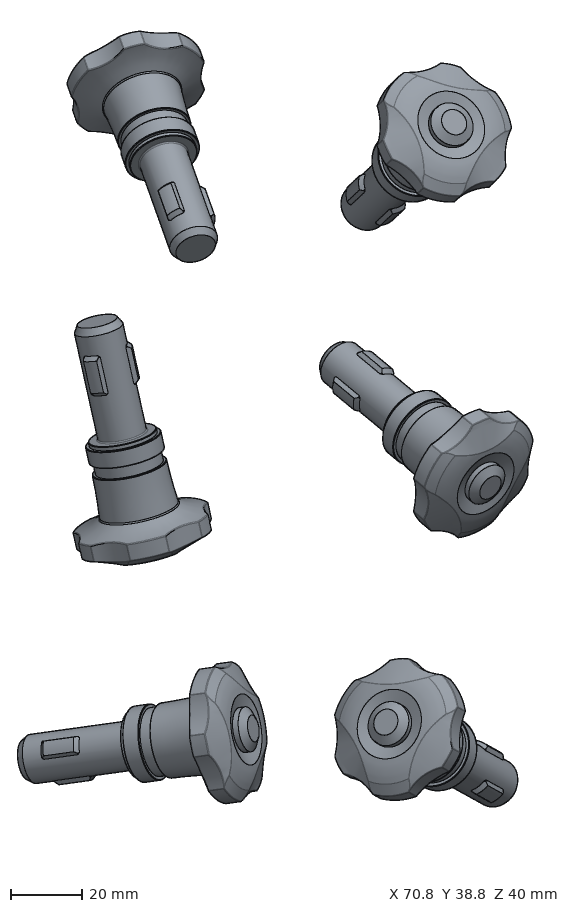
import cadquery as cq
import math

shank_length = 34.0
button_face_x = -36.8
button_bevel_x = button_face_x + 1.65
knob_face_x = button_face_x + 2.2
crown_end_x = button_face_x + 3.9
rim_front_x = button_face_x + 5.8
rim_back_x = button_face_x + 10.8
blend_start_x = button_face_x + 14.05
neck_start_x = button_face_x + 14.5
neck_end_x = button_face_x + 27.2
collar_start_x = button_face_x + 30.6
collar_end_x = button_face_x + 35.6

button_face_radius = 3.8
button_radius = 6.4
dish_radius = 10.1
dish_depth = 1.2
crown_radius = 17.0
rim_radius = 20.0
blend_radius = 11.6
neck_start_radius = 11.35
neck_end_radius = 10.7
groove_radius = 9.8
collar_radius = 10.85
shank_radius = 7.0
crown_bulge = 0.33
back_hollow = 0.45
neck_hollow = 0.15
edge_chamfer = 0.2
root_fillet = 0.35
tip_chamfer_length = 2.15
tip_chamfer_angle = 30.0

lobe_count = 3
lobe_spacing = 360.0 / lobe_count
small_lobe_angle = 94.0
large_lobe_angle = small_lobe_angle + lobe_spacing / 2
scallop_offset_angle = 33.75
scallop_half_angle = 17.4
scallop_floor_radius = 18.0
thumb_inner_radius = 11.4
thumb_inner_x = button_face_x + 2.25
thumb_half_width = 14.0
thumb_arch_height = 6.7
thumb_overrun = 0.5
grip_fillet = 0.3

key_count = 3
key_start_x = 14.2
key_length = 11.85
key_outer_radius = 8.2
key_base_half_width = 2.7
key_top_half_width = 2.15
key_corner_chamfer = 0.6
key_embed_depth = 1.0
key_inner_radius = shank_radius - key_embed_depth


def bowed_point(start, end, bow):
    """Midpoint of a chord, pushed sideways to the left of its direction by bow."""
    dx = end[0] - start[0]
    dy = end[1] - start[1]
    length = math.hypot(dx, dy)
    mid_x = (start[0] + end[0]) / 2
    mid_y = (start[1] + end[1]) / 2
    return (mid_x - bow * dy / length, mid_y + bow * dx / length)


def spin(profile):
    """Revolve a closed half profile about the X axis."""
    return profile.close().revolve(360, (0, 0, 0), (1, 0, 0))


def turned_about_x(body, angle):
    return body.rotate((0, 0, 0), (1, 0, 0), angle)


def make_knob():
    """Crowned knob head with a dished face, up to the start of the neck."""
    face = (knob_face_x, dish_radius)
    crown_end = (crown_end_x, crown_radius)
    rim_back = (rim_back_x, rim_radius)
    blend_start = (blend_start_x, blend_radius)
    return spin(
        cq.Workplane("XY")
        .moveTo(knob_face_x + dish_depth, 0)
        .lineTo(knob_face_x + dish_depth, button_radius)
        .lineTo(*face)
        .threePointArc(bowed_point(face, crown_end, crown_bulge), crown_end)
        .lineTo(rim_front_x, rim_radius)
        .lineTo(*rim_back)
        .threePointArc(bowed_point(rim_back, blend_start, -back_hollow), blend_start)
        .lineTo(neck_start_x, neck_start_radius)
        .lineTo(neck_start_x, 0)
    )


def cut_scallops(knob):
    """Six round hollows in the rim, one on each side of every large lobe."""
    half_chord = rim_radius * math.sin(math.radians(scallop_half_angle))
    chord_depth = rim_radius * math.cos(math.radians(scallop_half_angle)) - scallop_floor_radius
    scallop_radius = (half_chord**2 + chord_depth**2) / (2 * chord_depth)
    cutter = (
        cq.Workplane("YZ", origin=(knob_face_x, 0, 0))
        .center(scallop_floor_radius + scallop_radius, 0)
        .circle(scallop_radius)
        .extrude(neck_start_x - knob_face_x)
    )
    for index in range(lobe_count):
        lobe_angle = large_lobe_angle + index * lobe_spacing
        for side in (-1, 1):
            knob = knob.cut(turned_about_x(cutter, lobe_angle + side * scallop_offset_angle))
    return knob


def cut_thumb_hollows(knob):
    """Three sloping hollows in the front, each running out at a small lobe.

    The floor is a ruled surface: straight across at the crown and arched at the rim.
    """
    slope = (rim_front_x - thumb_inner_x) / (rim_radius - thumb_inner_radius)
    outer_x = rim_front_x + slope * thumb_overrun
    reach = rim_radius + thumb_overrun - thumb_inner_radius
    arch_end_x = outer_x + thumb_arch_height
    across = cq.Plane(origin=(0, thumb_inner_radius, 0), xDir=(0, 0, 1), normal=(0, 1, 0))
    cutter = (
        cq.Workplane(across)
        .moveTo(-thumb_half_width, thumb_inner_x)
        .lineTo(thumb_half_width, thumb_inner_x)
        .lineTo(thumb_half_width, button_face_x)
        .lineTo(-thumb_half_width, button_face_x)
        .close()
        .workplane(offset=reach)
        .moveTo(-thumb_half_width, arch_end_x)
        .threePointArc((0, outer_x), (thumb_half_width, arch_end_x))
        .lineTo(thumb_half_width, button_face_x)
        .lineTo(-thumb_half_width, button_face_x)
        .close()
        .loft(ruled=True)
    )
    for index in range(lobe_count):
        knob = knob.cut(turned_about_x(cutter, small_lobe_angle + index * lobe_spacing))
    return knob


def round_grip_edges(knob):
    """Round every edge left by the scallops and hollows, and both edges of the rim."""
    tolerance = 0.001
    grip_edges = []
    for edge in knob.edges().vals():
        middle = edge.positionAt(0.5)
        distance = math.hypot(middle.y, middle.z)
        is_crown_seam = math.isclose(distance, crown_radius, abs_tol=tolerance)
        is_outside_dish = distance > dish_radius + tolerance
        is_ahead_of_neck = middle.x < blend_start_x - tolerance
        if is_outside_dish and is_ahead_of_neck and not is_crown_seam:
            grip_edges.append(edge)
    return knob.newObject([knob.val().fillet(grip_fillet, grip_edges)])


def make_button():
    """Release button with a bevelled face, standing in the dish of the knob."""
    return spin(
        cq.Workplane("XY")
        .moveTo(button_face_x, 0)
        .lineTo(button_face_x, button_face_radius)
        .lineTo(button_bevel_x, button_radius)
        .lineTo(rim_back_x, button_radius)
        .lineTo(rim_back_x, 0)
    )


def make_body():
    """Neck, groove, collar, flange and shank, turned in one piece."""
    neck_start = (neck_start_x, neck_start_radius)
    neck_end = (neck_end_x - edge_chamfer, neck_end_radius)
    fillet_mid = root_fillet * (1 - math.sqrt(0.5))
    tip_drop = tip_chamfer_length * math.tan(math.radians(tip_chamfer_angle))
    return spin(
        cq.Workplane("XY")
        .moveTo(rim_back_x, 0)
        .lineTo(rim_back_x, neck_start_radius)
        .lineTo(*neck_start)
        .threePointArc(bowed_point(neck_start, neck_end, -neck_hollow), neck_end)
        .lineTo(neck_end_x, neck_end_radius - edge_chamfer)
        .lineTo(neck_end_x, groove_radius)
        .lineTo(collar_start_x, groove_radius)
        .lineTo(collar_start_x, collar_radius - edge_chamfer)
        .lineTo(collar_start_x + edge_chamfer, collar_radius)
        .lineTo(collar_end_x - edge_chamfer, collar_radius)
        .lineTo(collar_end_x, collar_radius - edge_chamfer)
        .lineTo(collar_end_x, groove_radius)
        .lineTo(-edge_chamfer, groove_radius)
        .lineTo(0, groove_radius - edge_chamfer)
        .lineTo(0, shank_radius + root_fillet)
        .threePointArc((fillet_mid, shank_radius + fillet_mid), (root_fillet, shank_radius))
        .lineTo(shank_length - tip_chamfer_length, shank_radius)
        .lineTo(shank_length, shank_radius - tip_drop)
        .lineTo(shank_length, 0)
    )


def make_key():
    """One locking key on the +Y side: sloped ends and sides, round top, clipped corners."""
    height = key_outer_radius - shank_radius
    end_x = key_start_x + key_length
    ring = spin(
        cq.Workplane("XY")
        .moveTo(key_start_x, 0)
        .lineTo(key_start_x, shank_radius)
        .lineTo(key_start_x + height, key_outer_radius)
        .lineTo(end_x - height, key_outer_radius)
        .lineTo(end_x, shank_radius)
        .lineTo(end_x, 0)
    )
    base_y = math.sqrt(shank_radius**2 - key_base_half_width**2)
    top_y = math.sqrt(key_outer_radius**2 - key_top_half_width**2)
    side_slope = (key_base_half_width - key_top_half_width) / (top_y - base_y)
    inner_half_width = key_base_half_width + side_slope * (base_y - key_inner_radius)
    outer_half_width = key_base_half_width - side_slope * (key_outer_radius - base_y)
    wedge = (
        cq.Workplane("YZ", origin=(key_start_x, 0, 0))
        .polyline(
            [
                (key_inner_radius, -inner_half_width),
                (key_outer_radius, -outer_half_width),
                (key_outer_radius, outer_half_width),
                (key_inner_radius, inner_half_width),
            ]
        )
        .close()
        .extrude(key_length)
    )
    plan = (
        cq.Workplane("XY")
        .box(key_length, key_outer_radius, 2 * key_base_half_width, centered=(False, False, True))
        .translate((key_start_x, 0, 0))
        .edges("|Y")
        .chamfer(key_corner_chamfer)
    )
    return ring.intersect(wedge).intersect(plan)


def make_part():
    knob = round_grip_edges(cut_thumb_hollows(cut_scallops(make_knob())))
    part = knob.union(make_body()).union(make_button())
    key = make_key()
    for index in range(key_count):
        part = part.union(turned_about_x(key, index * 360.0 / key_count))
    return part


result = make_part()